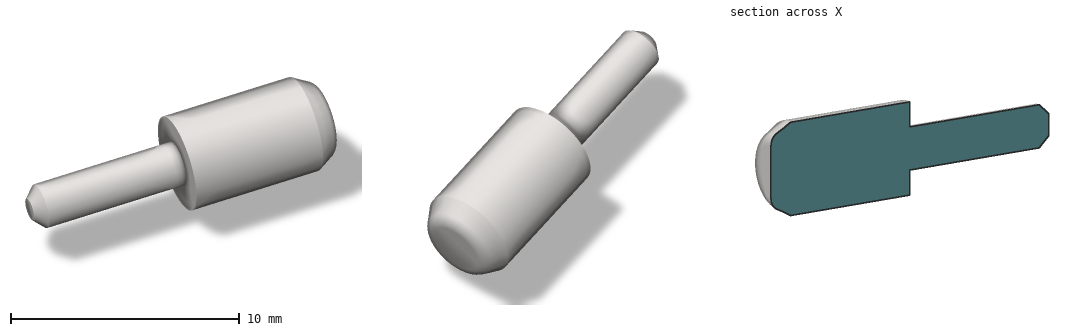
import cadquery as cq
import math

BODY_DIAMETER = 4.3
BODY_LENGTH = 7.0
TAPER_LENGTH = 1.0
TAPER_ANGLE = 30.0
NOSE_RADIUS = 0.6

SHANK_DIAMETER = 2.0
SHANK_LENGTH = 7.0
SHANK_CHAMFER = 0.5

TAPER_DEPTH = TAPER_LENGTH * math.tan(math.radians(TAPER_ANGLE))


def make_body():
    """Thick cylinder with a tapered, rounded end on the +Y side."""
    radius = BODY_DIAMETER / 2
    profile = (
        cq.Workplane("XY")
        .moveTo(0, 0)
        .lineTo(radius, 0)
        .lineTo(radius, BODY_LENGTH - TAPER_LENGTH)
        .lineTo(radius - TAPER_DEPTH, BODY_LENGTH)
        .lineTo(0, BODY_LENGTH)
        .close()
    )
    body = profile.revolve(360, (0, 0, 0), (0, 1, 0))
    return body.faces(">Y").edges().fillet(NOSE_RADIUS)


def make_shank():
    """Thin cylinder running from the shoulder toward -Y, chamfered at its tip."""
    shank = cq.Workplane("XZ").circle(SHANK_DIAMETER / 2).extrude(SHANK_LENGTH)
    return shank.faces("<Y").edges().chamfer(SHANK_CHAMFER)


result = make_body().union(make_shank())